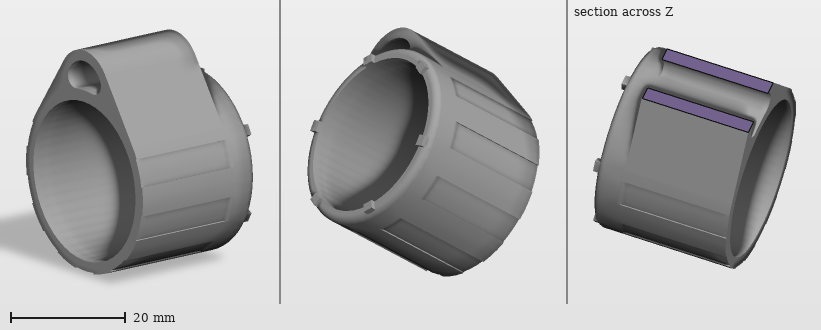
import cadquery as cq
import math

OUTER_RADIUS = 16.5
BORE_RADIUS = 14.4
RING_LENGTH = 25.0
RIM_FILLET = 1.25

LUG_TOP = 40.25 - OUTER_RADIUS
NOSE_RADIUS = 7.05
NOSE_CENTER_Z = LUG_TOP - NOSE_RADIUS
LUG_LENGTH = 20.0

EYELET_WALL = 1.95
EYELET_RADIUS = NOSE_RADIUS - EYELET_WALL
EYELET_CORNER_RADIUS = 2.0

GROOVE_WIDTH = 5.0
GROOVE_DEPTH = 0.25
GROOVE_FLOOR_LENGTH = 19.15
GROOVE_RUNOUT = 1.2
GROOVE_BLEND_SHARE = 0.44
GROOVE_COUNT = 7
GROOVE_PITCH = 36.0
GROOVE_START_ANGLE = 18.0

TOOTH_WIDTH = 1.97
TOOTH_HEIGHT = 0.75
TOOTH_OUTER_RADIUS = 15.98
TOOTH_COUNT = 6
TOOTH_START_ANGLE = 30.0

CLEARANCE = 0.8


def cylinder(radius, start_y, end_y, center_z=0.0):
    """Solid cylinder along Y."""
    base = cq.Workplane("XZ", origin=(0, start_y, 0))
    return base.center(0, center_z).circle(radius).extrude(start_y - end_y)


def turned_about_ring(shape, angle):
    """Turn a shape about the ring axis, from +X towards +Z for positive angles."""
    return shape.rotate((0, 0, 0), (0, 1, 0), -angle)


def ring_body():
    ring = cylinder(OUTER_RADIUS, 0, RING_LENGTH)
    return ring.faces(">Y").edges().fillet(RIM_FILLET)


def lug_body():
    normal_sin = (OUTER_RADIUS - NOSE_RADIUS) / NOSE_CENTER_Z
    normal_cos = math.sqrt(1 - normal_sin**2)
    ring_x = OUTER_RADIUS * normal_cos
    ring_z = OUTER_RADIUS * normal_sin
    nose_x = NOSE_RADIUS * normal_cos
    nose_z = NOSE_CENTER_Z + NOSE_RADIUS * normal_sin
    return (
        cq.Workplane("XZ")
        .moveTo(0, 0)
        .lineTo(ring_x, ring_z)
        .lineTo(nose_x, nose_z)
        .threePointArc((0, LUG_TOP), (-nose_x, nose_z))
        .lineTo(-ring_x, ring_z)
        .close()
        .extrude(-LUG_LENGTH)
    )


def eyelet_cutter():
    """Crescent-like opening between the nose arc and the ring's outer circle."""
    end_y = LUG_LENGTH + CLEARANCE
    opening = cylinder(EYELET_RADIUS, -CLEARANCE, end_y, NOSE_CENTER_Z)
    opening = opening.cut(cylinder(OUTER_RADIUS, -2 * CLEARANCE, end_y + CLEARANCE))
    return opening.edges("|Y").edges("<X or >X").fillet(EYELET_CORNER_RADIUS)


def groove_cutters():
    """Pieces of a turned sleeve whose floor rises to the surface in an S-shaped run-out."""
    floor_radius = OUTER_RADIUS - GROOVE_DEPTH
    runout_end = GROOVE_FLOOR_LENGTH + GROOVE_RUNOUT
    blend_radius = floor_radius + GROOVE_BLEND_SHARE * GROOVE_DEPTH
    blend_y = GROOVE_FLOOR_LENGTH + GROOVE_BLEND_SHARE * GROOVE_RUNOUT
    sleeve_radius = OUTER_RADIUS + CLEARANCE
    sleeve = (
        cq.Workplane("XY")
        .moveTo(floor_radius, -CLEARANCE)
        .lineTo(floor_radius, GROOVE_FLOOR_LENGTH)
        .tangentArcPoint((blend_radius, blend_y), relative=False)
        .tangentArcPoint((OUTER_RADIUS, runout_end), relative=False)
        .lineTo(sleeve_radius, runout_end)
        .lineTo(sleeve_radius, -CLEARANCE)
        .close()
        .revolve(360, (0, 0, 0), (0, 1, 0))
    )
    slab = cq.Workplane("XY").box(
        sleeve_radius, 2 * RING_LENGTH, GROOVE_WIDTH, centered=(False, True, True)
    )
    groove = sleeve.intersect(slab)
    cutters = []
    for index in range(GROOVE_COUNT):
        angle = GROOVE_START_ANGLE - index * GROOVE_PITCH
        cutters.append(turned_about_ring(groove, angle))
    return cutters


def teeth():
    """Teeth reach down into the rim so that they meet its fillet all round."""
    root_y = RING_LENGTH - RIM_FILLET
    tooth = cq.Workplane("XY").box(
        TOOTH_OUTER_RADIUS, RIM_FILLET + TOOTH_HEIGHT, TOOTH_WIDTH, centered=(False, False, True)
    )
    tooth = tooth.translate((0, root_y, 0))
    spacing = 360.0 / TOOTH_COUNT
    return [turned_about_ring(tooth, TOOTH_START_ANGLE + n * spacing) for n in range(TOOTH_COUNT)]


result = ring_body().union(lug_body())
for tooth_shape in teeth():
    result = result.union(tooth_shape)
result = result.cut(cylinder(BORE_RADIUS, -CLEARANCE, RING_LENGTH + TOOTH_HEIGHT + CLEARANCE))
result = result.cut(eyelet_cutter())
for groove_shape in groove_cutters():
    result = result.cut(groove_shape)